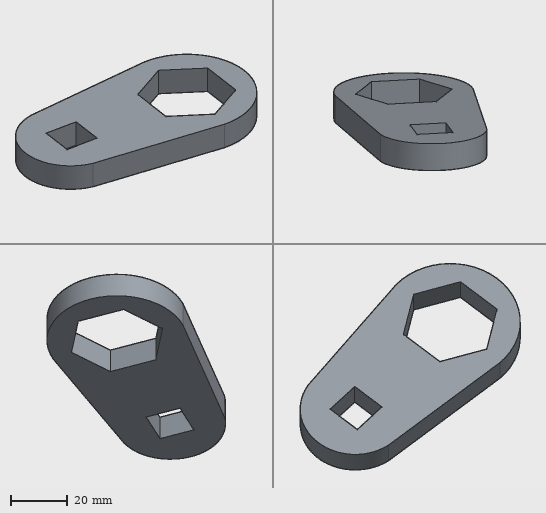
import cadquery as cq
import math

thickness = 10.0
large_radius = 25.0
center_distance = 50.0
length = 95.0
flank_top_drop = 1.0
flank_bottom_drop = 4.1
flank_bottom_half_width = 19.3
hex_across_flats = 30.3
square_side = 13.0

end_y = large_radius - length

large_x = math.sqrt(large_radius**2 - flank_top_drop**2)
large_y = -flank_top_drop

small_x = flank_bottom_half_width
small_y = -center_distance - flank_bottom_drop

plate = (
    cq.Workplane("XY")
    .moveTo(large_x, large_y)
    .threePointArc((0, large_radius), (-large_x, large_y))
    .lineTo(-small_x, small_y)
    .threePointArc((0, end_y), (small_x, small_y))
    .close()
    .extrude(thickness)
)

hex_hole = (
    cq.Workplane("XY")
    .polygon(6, hex_across_flats / math.cos(math.pi / 6))
    .extrude(thickness)
)
square_hole = (
    cq.Workplane("XY")
    .center(0, -center_distance)
    .rect(square_side, square_side)
    .extrude(thickness)
)

result = plate.cut(hex_hole).cut(square_hole)